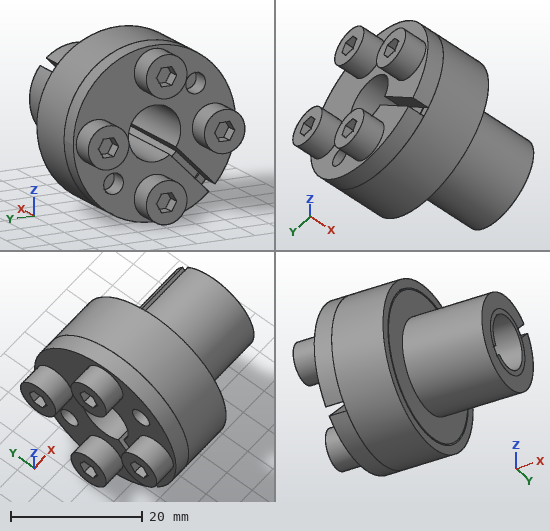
import cadquery as cq
import math


overall_length = 30.0
flange_front = 4.0
flange_back = 7.05
ring_back = 16.05

outer_dia = 28.0
ring_bore_dia = 25.0
collar_dia = 24.5
sleeve_dia = 16.0
shaft_bore_dia = 9.0
taper_front_dia = 13.53
taper_back_dia = 10.68

slit_width = 1.5
collet_slit_angle = 225.0
sleeve_slit_angle = collet_slit_angle - 180.0

screw_count = 4
pitch_radius = 10.0
head_dia = 7.0
socket_across_flats = 3.0
socket_depth = 2.0
jack_hole_dia = 3.4
jack_hole_angles = (135.0, 315.0)


def cylinder(diameter, start, end):
    """Cylinder on the X axis between two axial stations."""
    return cq.Workplane("YZ", origin=(start, 0, 0)).circle(diameter / 2).extrude(end - start)


def taper():
    """Cone on the X axis that the collet and the sleeve bore share."""
    return (
        cq.Workplane("XY")
        .moveTo(flange_back, 0)
        .lineTo(flange_back, taper_front_dia / 2)
        .lineTo(overall_length, taper_back_dia / 2)
        .lineTo(overall_length, 0)
        .close()
        .revolve(360, (0, 0, 0), (1, 0, 0))
    )


def slit(angle):
    """Full-length radial cutter from the axis out past the rim, at an angle from +Y towards +Z."""
    blade = cq.Workplane("XY").box(
        overall_length, outer_dia, slit_width, centered=(False, False, True)
    )
    return blade.rotate((0, 0, 0), (1, 0, 0), angle)


def on_pitch_circle(angle):
    """(Y, Z) of a point on the pitch circle."""
    turn = math.radians(angle)
    return pitch_radius * math.cos(turn), pitch_radius * math.sin(turn)


def make_collet():
    """Flange with a tapered collet behind it, bored for the shaft and split on one side."""
    body = cylinder(outer_dia, flange_front, flange_back).union(taper())
    body = body.cut(cylinder(shaft_bore_dia, flange_front, overall_length))
    jack_holes = (
        cq.Workplane("YZ", origin=(flange_front, 0, 0))
        .pushPoints([on_pitch_circle(angle) for angle in jack_hole_angles])
        .circle(jack_hole_dia / 2)
        .extrude(flange_back - flange_front)
    )
    return body.cut(jack_holes).cut(slit(collet_slit_angle))


def make_sleeve():
    """Collared sleeve with a tapered bore, split on the side opposite the collet slit."""
    collar = cylinder(collar_dia, flange_back, ring_back)
    body = collar.union(cylinder(sleeve_dia, flange_back, overall_length))
    return body.cut(taper()).cut(slit(sleeve_slit_angle))


def make_outer_ring():
    """Plain ring around the sleeve collar, seated against the flange."""
    ring = cylinder(outer_dia, flange_back, ring_back)
    return ring.cut(cylinder(ring_bore_dia, flange_back, ring_back))


def make_screw(angle):
    """Cylindrical screw head seated on the flange, with a hexagon socket that has corners along Y."""
    y, z = on_pitch_circle(angle)
    across_corners = socket_across_flats / math.cos(math.pi / 6)
    socket = cq.Workplane("YZ").polygon(6, across_corners).extrude(socket_depth)
    return cylinder(head_dia, 0, flange_front).cut(socket).translate((0, y, z))


collet = make_collet()
sleeve = make_sleeve()
outer_ring = make_outer_ring()
screws = [make_screw(index * 360 / screw_count) for index in range(screw_count)]

result = cq.Compound.makeCompound(
    [collet.val(), sleeve.val(), outer_ring.val(), *[screw.val() for screw in screws]]
)